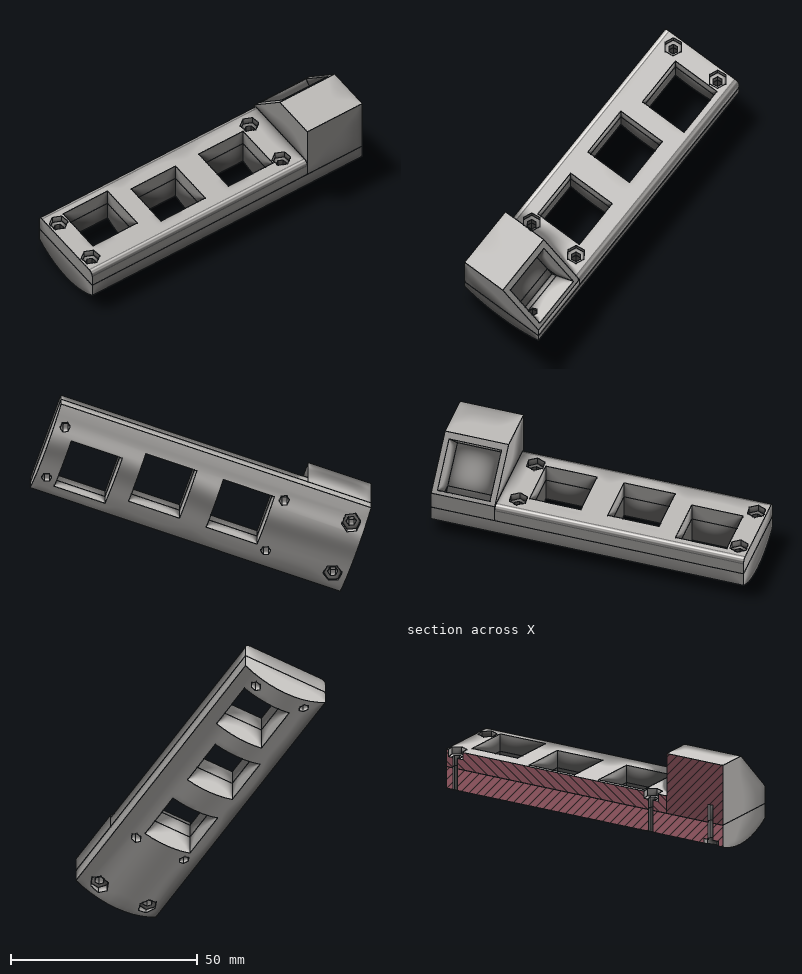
import cadquery as cq
import math

LENGTH = 88.0
WIDTH = 25.0
HEIGHT = 25.0

SPLIT_Z = 8.0
PLATE_TOP_Z = 12.9
BELLY_EDGE_Z = 3.9

HEAD_LENGTH = 17.95
HEAD_SLOPE = HEIGHT - PLATE_TOP_Z
HEAD_FRONT_Y = LENGTH - HEAD_LENGTH
WINDOW_WALL_Y = 1.6
WINDOW_LOW_X = 0.8
WINDOW_HIGH_X = 10.7
WINDOW_DEPTH = 10.3

EDGE_ROUND_RADIUS = 1.4

OPENING_WIDTH = 14.0
OPENING_LENGTH = 14.4
OPENING_CORNERS = [(6.1, 47.8), (6.1, 25.8), (3.1, 5.7)]

SCREW_CORNER_DIAMETER = 2.7
SCREW_SPACING_X = 15.0
SCREW_XS = [(WIDTH - SCREW_SPACING_X) / 2, (WIDTH + SCREW_SPACING_X) / 2]
PLATE_SCREW_YS = [2.9, 65.0]
HEAD_SCREW_Y = 84.0
NUT_CORNER_DIAMETER = 5.1
HEXAGON_TURN = 7.0
PLATE_NUT_DEPTH = 2.0
BASE_NUT_TOP_Z = 3.0

PLATE_SCREWS = [(x, y) for x in SCREW_XS for y in PLATE_SCREW_YS]
HEAD_SCREWS = [(x, HEAD_SCREW_Y) for x in SCREW_XS]


def lengthwise(profile_points, start_y, length):
    """Prism along +Y from an X-Z outline."""
    profile = cq.Workplane("XZ", origin=(0, start_y, 0)).polyline(profile_points).close()
    return profile.extrude(-length)


def hexagons(points, corner_diameter, bottom_z, height):
    """Hexagonal cutters, each turned slightly about its own axis."""
    cutters = cq.Workplane("XY")
    for x, y in points:
        cutter = cq.Workplane("XY").polygon(6, corner_diameter).extrude(height)
        cutter = cutter.rotate((0, 0, 0), (0, 0, 1), HEXAGON_TURN)
        cutters = cutters.add(cutter.translate((x, y, bottom_z)))
    return cutters.combine()


def screw_holes(points):
    """Screw hole cutters from the belly up to the level of the plate top."""
    return hexagons(points, SCREW_CORNER_DIAMETER, 0, PLATE_TOP_Z)


def nut_pockets(points, bottom_z, depth):
    """Nut pocket cutters."""
    return hexagons(points, NUT_CORNER_DIAMETER, bottom_z, depth)


def rectangular_openings():
    """Cutters for the nearly square openings."""
    openings = cq.Workplane("XY")
    for x, y in OPENING_CORNERS:
        opening = cq.Workplane("XY").box(OPENING_WIDTH, OPENING_LENGTH, HEIGHT, centered=False)
        openings = openings.add(opening.translate((x, y, 0)))
    return openings.combine()


def window_pocket():
    """Cutter for the recess sunk square to the sloped face of the head, reaching into the base."""
    inward = WINDOW_DEPTH * math.sqrt(0.5)
    low_z = PLATE_TOP_Z + WINDOW_LOW_X
    high_z = PLATE_TOP_Z + WINDOW_HIGH_X
    outline = [
        (WINDOW_LOW_X, low_z),
        (WINDOW_HIGH_X, high_z),
        (WINDOW_HIGH_X + inward, high_z - inward),
        (WINDOW_LOW_X + inward, low_z - inward),
    ]
    return lengthwise(outline, HEAD_FRONT_Y + WINDOW_WALL_Y, HEAD_LENGTH - 2 * WINDOW_WALL_Y)


def make_base():
    """Lower half with a rounded belly."""
    profile = (
        cq.Workplane("XZ")
        .moveTo(0, SPLIT_Z)
        .lineTo(0, BELLY_EDGE_Z)
        .threePointArc((WIDTH / 2, 0), (WIDTH, BELLY_EDGE_Z))
        .lineTo(WIDTH, SPLIT_Z)
        .close()
    )
    base = profile.extrude(-LENGTH)
    base = base.cut(rectangular_openings())
    base = base.cut(screw_holes(PLATE_SCREWS + HEAD_SCREWS))
    base = base.cut(window_pocket())
    return base.cut(nut_pockets(HEAD_SCREWS, 0, BASE_NUT_TOP_Z))


def make_cover_plate():
    """Upper plate in front of the head, with rounded long edges and nut pockets."""
    thickness = PLATE_TOP_Z - SPLIT_Z
    plate = cq.Workplane("XY").box(WIDTH, HEAD_FRONT_Y, thickness, centered=False)
    plate = plate.translate((0, 0, SPLIT_Z))
    plate = plate.edges("|Y and >Z").fillet(EDGE_ROUND_RADIUS)
    plate = plate.cut(rectangular_openings())
    plate = plate.cut(screw_holes(PLATE_SCREWS))
    return plate.cut(nut_pockets(PLATE_SCREWS, PLATE_TOP_Z - PLATE_NUT_DEPTH, PLATE_NUT_DEPTH))


def make_head():
    """Head with a 45 degree face holding the window pocket."""
    outline = [
        (0, SPLIT_Z),
        (WIDTH, SPLIT_Z),
        (WIDTH, HEIGHT),
        (HEAD_SLOPE, HEIGHT),
        (0, PLATE_TOP_Z),
    ]
    head = lengthwise(outline, HEAD_FRONT_Y, HEAD_LENGTH)
    head = head.cut(window_pocket())
    return head.cut(screw_holes(HEAD_SCREWS))


base = make_base()
cover_plate = make_cover_plate()
head = make_head()

result = cq.Compound.makeCompound([base.val(), cover_plate.val(), head.val()])